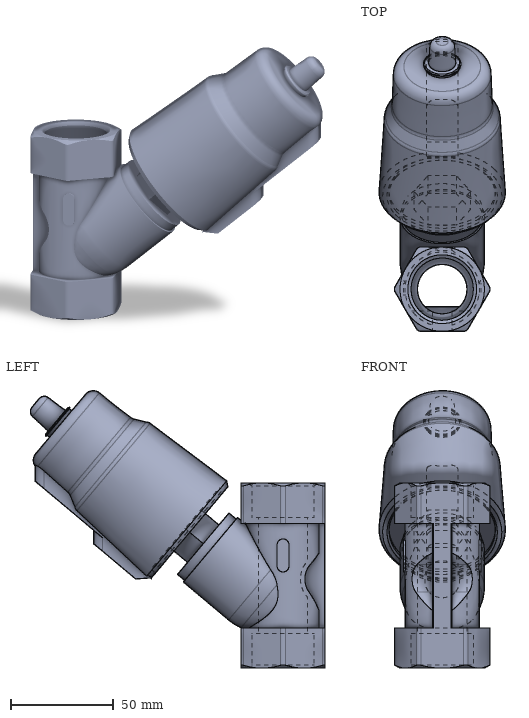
import cadquery as cq
import math

half_length = 45.1
hex_flats = 41.0
hex_corner_fillet = 2.6
hex_height = 19.7
hex_bevel_angle = 30
pipe_radius = 18.1
bore_diameter = 24.0
thread_diameter = 30.3
thread_depth = 16.8
thread_bevel = 1.6
rib_width = 9.3
rib_chamfer = 0.5

notch_radius = 10.8
notch_lip_radius = 37.3
notch_floor_y = -10.6
notch_z = -1.7
notch_upper_angle = 42
notch_lower_angle = 36
notch_wall = 2.2

pad_width = 5.7
pad_length = 16.1
pad_z = 9.8
pad_face_x = 18.8

branch_angle = 40
branch_z = -17.1

bonnet_radius = 20.5
bonnet_foot = 2.9
bonnet_cone_top = 10.3
bonnet_curve_top = 17.4
bonnet_curve_radius = 24.4
bonnet_top = 46.1
collar_diameter = 39.0
collar_top = 50.7
neck_flats = 23.8

skirt_bottom = 59.3
skirt_bevel_top = 61.6
skirt_bottom_radius = 29.0
skirt_diameter = 61.6
recess_diameter = 51.7
recess_depth = 2.9
recess_bevel = 1.0
shoulder_bottom, shoulder_bottom_radius = 108.1, 28.3
shoulder_edge, shoulder_edge_radius = 110.0, 27.5
shoulder_top, shoulder_top_radius = 115.5, 24.8
cap_wall_bottom, cap_wall_bottom_radius = 117.3, 24.4
cap_wall_top, cap_wall_top_radius = 136.5, 23.8
cap_top = 141.3
cap_top_radius = 18.7

washer_diameter = 18.2
washer_base_radius = 8.5
washer_bottom = 142.9
washer_top = 143.7
washer_bevel = 0.6
stem_base_radius = 6.6
stem_shoulder, stem_shoulder_radius = 154.2, 6.0
stem_top = 157.2
stem_top_diameter = 5.7

lug_width = 15.5
lug_round = 4.3
lug_upper_end_y = 120.6
lug_lower_end_y = 92.2
lug_upper_distance = 29.3
lug_lower_distance = 34.3
lug_bottom_z = -1.7
lug_root_distance = 21.5
lug_root_height = 71.8

branch_cos = math.cos(math.radians(branch_angle))
branch_sin = math.sin(math.radians(branch_angle))


def on_branch(distance, height):
    """(Y, Z) of a point below the branch axis, at a height along that axis."""
    return (
        height * branch_cos + distance * branch_sin,
        branch_z + height * branch_sin - distance * branch_cos,
    )


def under_branch_z(y, distance):
    """Z at a given Y on the line parallel to the branch axis and below it."""
    return branch_z + (y * branch_sin - distance) / branch_cos


def under_branch_y(z, distance):
    """Y at a given Z on the line parallel to the branch axis and below it."""
    return ((z - branch_z) * branch_cos + distance) / branch_sin


def incline(shape):
    """Tilt a shape built upright along Z onto the branch axis."""
    return shape.rotate((0, 0, 0), (1, 0, 0), branch_angle - 90).translate((0, 0, branch_z))


def hexagon(flats, height):
    """Upright hexagonal prism with two flats facing +Y and -Y."""
    return cq.Workplane("XY").polygon(6, flats / math.cos(math.pi / 6)).extrude(height)


def hex_end():
    """Upper hexagonal pipe end, with rounded corners and a bevelled outer edge."""
    bevel_radius = hex_flats / 2
    corner_radius = bevel_radius / math.cos(math.pi / 6)
    bevel_drop = (corner_radius - bevel_radius) * math.tan(math.radians(hex_bevel_angle))
    turned = (
        cq.Workplane("XZ")
        .polyline([
            (0, 0),
            (corner_radius, 0),
            (corner_radius, hex_height - bevel_drop),
            (bevel_radius, hex_height),
            (0, hex_height),
        ])
        .close()
        .revolve(360, (0, 0), (0, 1))
    )
    prism = hexagon(hex_flats, hex_height).edges("|Z").fillet(hex_corner_fillet)
    return prism.intersect(turned).translate((0, 0, half_length - hex_height))


def thread_hole():
    """Upper threaded socket, bevelled at its mouth."""
    radius = thread_diameter / 2
    return (
        cq.Workplane("XZ")
        .polyline([
            (0, half_length - thread_depth),
            (radius, half_length - thread_depth),
            (radius, half_length - thread_bevel),
            (radius + thread_bevel, half_length),
            (0, half_length),
        ])
        .close()
        .revolve(360, (0, 0), (0, 1))
    )


def both_ends(shape):
    """The shape together with its mirror image below the XY plane."""
    return shape.union(shape.mirror("XY"))


def waist(wall):
    """Bar along X whose inner face is a rounded floor between two lips curving out to -Y.

    The wall is the distance by which the face is offset into the pipe.
    """
    floor_radius = notch_radius + wall
    lip_radius = notch_lip_radius - wall
    floor_centre_y = notch_floor_y - notch_radius
    centre_distance = notch_radius + notch_lip_radius

    def lip(angle, side):
        """Seam with the floor, middle and outer end of one lip; side is +1 above, -1 below."""
        seam = math.radians(angle)
        seam_y = floor_centre_y + floor_radius * math.cos(seam)
        seam_z = notch_z + side * floor_radius * math.sin(seam)
        centre_y = floor_centre_y + centre_distance * math.cos(seam)
        centre_z = notch_z + side * centre_distance * math.sin(seam)
        middle = (
            centre_y - lip_radius * math.cos(seam / 2),
            centre_z - side * lip_radius * math.sin(seam / 2),
        )
        return (seam_y, seam_z), middle, (centre_y - lip_radius, centre_z)

    upper_seam, upper_middle, upper_end = lip(notch_upper_angle, 1)
    lower_seam, lower_middle, lower_end = lip(notch_lower_angle, -1)
    return (
        cq.Workplane("YZ")
        .moveTo(*upper_end)
        .threePointArc(upper_middle, upper_seam)
        .threePointArc((floor_centre_y + floor_radius, notch_z), lower_seam)
        .threePointArc(lower_middle, lower_end)
        .lineTo(-hex_flats, lower_end[1])
        .lineTo(-hex_flats, upper_end[1])
        .close()
        .extrude(hex_flats, both=True)
    )


def pads():
    """Oblong bar through the pipe that stands out from both flanks."""
    return (
        cq.Workplane("YZ")
        .center(0, pad_z)
        .slot2D(pad_length, pad_width, 90)
        .extrude(pad_face_x, both=True)
    )


def bonnet():
    """Branch of the pipe, curving in to a cone at its foot, with a collar on top."""
    curve_angle = math.asin((bonnet_curve_top - bonnet_cone_top) / bonnet_curve_radius)
    curve_centre = bonnet_radius - bonnet_curve_radius
    cone_radius = curve_centre + bonnet_curve_radius * math.cos(curve_angle)
    foot_radius = cone_radius - (bonnet_cone_top - bonnet_foot) * math.tan(curve_angle)
    collar_radius = collar_diameter / 2
    return (
        cq.Workplane("XZ")
        .moveTo(0, bonnet_foot)
        .lineTo(foot_radius, bonnet_foot)
        .lineTo(cone_radius, bonnet_cone_top)
        .tangentArcPoint((bonnet_radius, bonnet_curve_top), relative=False)
        .lineTo(bonnet_radius, bonnet_top)
        .lineTo(collar_radius, bonnet_top)
        .lineTo(collar_radius, collar_top)
        .lineTo(0, collar_top)
        .close()
        .revolve(360, (0, 0), (0, 1))
    )


def neck():
    """Hexagonal neck between the collar and the actuator, with corners facing +X and -X."""
    length = skirt_bottom + recess_depth - collar_top
    return hexagon(neck_flats, length).translate((0, 0, collar_top))


def actuator():
    """Tapered skirt, shoulder and rounded cap, with a shallow recess underneath."""
    recess_radius = recess_diameter / 2
    recess_top = skirt_bottom + recess_depth
    return (
        cq.Workplane("XZ")
        .moveTo(0, recess_top)
        .lineTo(recess_radius, recess_top)
        .lineTo(recess_radius, skirt_bottom + recess_bevel)
        .lineTo(recess_radius + recess_bevel, skirt_bottom)
        .lineTo(skirt_bottom_radius, skirt_bottom)
        .lineTo(skirt_diameter / 2, skirt_bevel_top)
        .lineTo(shoulder_bottom_radius, shoulder_bottom)
        .tangentArcPoint((shoulder_edge_radius, shoulder_edge), relative=False)
        .lineTo(shoulder_top_radius, shoulder_top)
        .tangentArcPoint((cap_wall_bottom_radius, cap_wall_bottom), relative=False)
        .lineTo(cap_wall_top_radius, cap_wall_top)
        .tangentArcPoint((cap_top_radius, cap_top), relative=False)
        .lineTo(0, cap_top)
        .close()
        .revolve(360, (0, 0), (0, 1))
    )


def stem():
    """Tapered indicator stem with a rounded tip, standing on a stepped washer."""
    washer_radius = washer_diameter / 2
    return (
        cq.Workplane("XZ")
        .moveTo(0, cap_top)
        .lineTo(washer_base_radius, cap_top)
        .lineTo(washer_base_radius, washer_bottom)
        .lineTo(washer_radius, washer_bottom)
        .lineTo(washer_radius, washer_top - washer_bevel)
        .lineTo(washer_radius - washer_bevel, washer_top)
        .lineTo(stem_base_radius, washer_top)
        .lineTo(stem_shoulder_radius, stem_shoulder)
        .tangentArcPoint((stem_top_diameter / 2, stem_top), relative=False)
        .lineTo(0, stem_top)
        .close()
        .revolve(360, (0, 0), (0, 1))
    )


def lug():
    """Two-step lug along the underside of the actuator, with upright rounded ends."""

    def step(end_y, distance):
        outline = [
            (end_y, under_branch_z(end_y, lug_root_distance)),
            (end_y, under_branch_z(end_y, distance)),
            (under_branch_y(lug_bottom_z, distance), lug_bottom_z),
            on_branch(skirt_bottom_radius, skirt_bottom),
            on_branch(lug_root_distance, lug_root_height),
        ]
        block = cq.Workplane("YZ").polyline(outline).close().extrude(lug_width / 2, both=True)
        return block.edges("|Z").edges(">Y").fillet(lug_round)

    return step(lug_upper_end_y, lug_upper_distance).union(step(lug_lower_end_y, lug_lower_distance))


body = cq.Workplane("XY").circle(pipe_radius).extrude(half_length - hex_height / 2, both=True)
body = body.cut(waist(0))
rib = cq.Workplane("XY").box(
    rib_width, hex_flats / 2, 2 * half_length - hex_height, centered=(True, False, True)
)
rib = rib.faces("<Y").edges("|Z").chamfer(rib_chamfer)
body = body.union(rib.translate((0, -hex_flats / 2, 0)))
body = body.union(pads()).union(both_ends(hex_end()))

body = body.union(incline(bonnet()))
body = body.union(incline(neck().union(actuator()).union(stem())))
body = body.union(lug())

bore = cq.Workplane("XY").circle(bore_diameter / 2).extrude(half_length, both=True)
bore = bore.cut(waist(notch_wall))
result = body.cut(bore).cut(both_ends(thread_hole()))